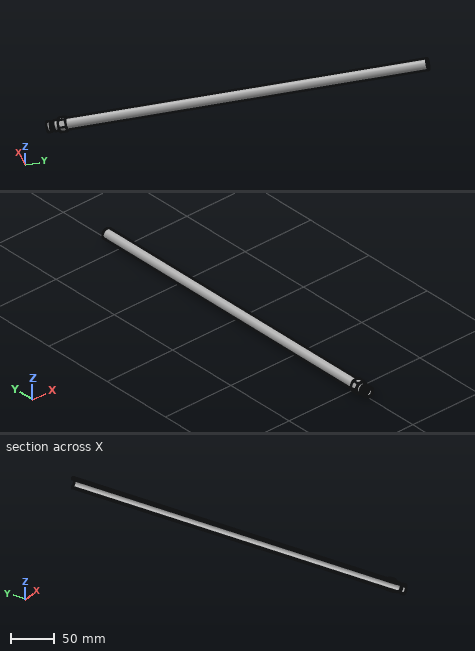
import cadquery as cq
import math

total_length = 450.0
tube_diameter = 14.0
bore_diameter = 9.0

across_flats = 15.0
across_corners = across_flats / math.cos(math.pi / 6)
hex_length = 9.0
hex_chamfer_angle = math.radians(30)
hex_face_diameter = 14.5

plug_diameter = 13.0
plug_length = 14.0
plug_chamfer = 0.5

groove_diameter = 10.6
groove_lip_diameter = 12.4
groove_start = 3.0
groove_lip = 4.3
groove_bottom_start = 5.7
groove_bottom_end = 7.5
groove_end = 8.8

plug_face = -total_length / 2
hex_front = plug_face + plug_length
hex_back = hex_front + hex_length
tube_end = total_length / 2


def round_bar(diameter, start, end):
    """Solid cylinder on the Y axis between two Y positions."""
    return cq.Workplane("XZ", origin=(0, start, 0)).circle(diameter / 2).extrude(start - end)


def revolve_about_y(profile):
    """Solid of revolution about the Y axis from (radius, Y) points."""
    return cq.Workplane("XY").polyline(profile).close().revolve(360, (0, 0, 0), (0, 1, 0))


def hex_collar():
    """Hexagon with corners on +X and -X, its corners chamfered at both ends."""
    prism = cq.Workplane("XZ", origin=(0, hex_front, 0)).polygon(6, across_corners).extrude(-hex_length)
    face_radius = hex_face_diameter / 2
    corner_radius = across_corners / 2
    setback = (corner_radius - face_radius) * math.tan(hex_chamfer_angle)
    envelope = revolve_about_y([
        (0, hex_front),
        (face_radius, hex_front),
        (corner_radius, hex_front + setback),
        (corner_radius, hex_back - setback),
        (face_radius, hex_back),
        (0, hex_back),
    ])
    return prism.intersect(envelope)


def groove_ring():
    """Ring removed for the groove: shallow front bevel, then sloping walls to a flat bottom."""
    return revolve_about_y([
        (plug_diameter / 2, plug_face + groove_start),
        (groove_lip_diameter / 2, plug_face + groove_lip),
        (groove_diameter / 2, plug_face + groove_bottom_start),
        (groove_diameter / 2, plug_face + groove_bottom_end),
        (plug_diameter / 2, plug_face + groove_end),
    ])


def plug():
    """Round plug with a chamfered leading edge and a retaining groove."""
    body = round_bar(plug_diameter, plug_face, hex_front)
    return body.faces("<Y").edges().chamfer(plug_chamfer).cut(groove_ring())


tube = round_bar(tube_diameter, hex_back, tube_end)
bore = round_bar(bore_diameter, plug_face, tube_end)

result = plug().union(hex_collar()).union(tube).cut(bore)